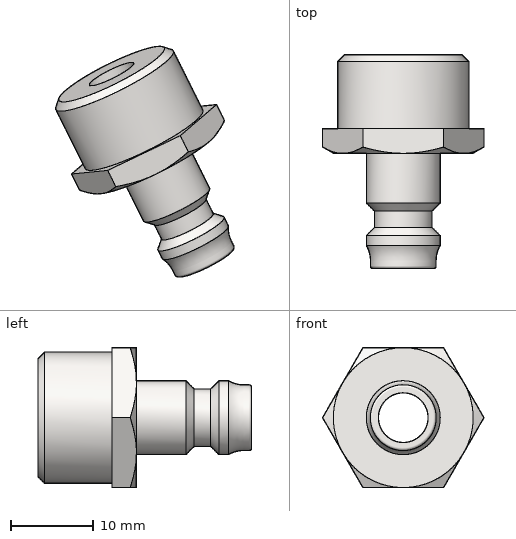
import cadquery as cq
import math

total_length = 26.0
tip_length = 1.0
tip_rounding = 0.3
flare_length = 1.82
collar_length = 1.2
groove_cone = 1.0
groove_length = 2.0
hex_length = 3.0
thread_length = 9.0
thread_chamfer = 0.83

bore_diameter = 6.0
tip_diameter = 8.0
stem_diameter = 9.0
thread_diameter = 16.0
hex_across_flats = 17.0
hex_chamfer_angle = 30.0

stem_radius = stem_diameter / 2
groove_radius = stem_radius - groove_cone
tip_radius = tip_diameter / 2
thread_radius = thread_diameter / 2
hex_inner_radius = hex_across_flats / 2
hex_corner_radius = hex_inner_radius / math.cos(math.radians(30))

flare_start = tip_length
collar_start = flare_start + flare_length
cone_start = collar_start + collar_length
groove_start = cone_start + groove_cone
groove_end = groove_start + groove_length
stem_start = groove_end + groove_cone
thread_start = total_length - thread_length
hex_start = thread_start - hex_length


def revolve_about_y(profile):
    return profile.close().revolve(360, (0, 0, 0), (0, 1, 0))


def plug():
    """Grooved stem with a rounded tip and a concave flare behind it."""
    rise = stem_radius - tip_radius
    arc_radius = (flare_length**2 + rise**2) / (2 * rise)
    half_angle = math.asin(flare_length / arc_radius) / 2
    flare_middle = (
        tip_radius + arc_radius * (1 - math.cos(half_angle)),
        flare_start + arc_radius * math.sin(half_angle),
    )
    return revolve_about_y(
        cq.Workplane("XY")
        .lineTo(tip_radius - tip_rounding, 0)
        .radiusArc((tip_radius, tip_rounding), -tip_rounding)
        .lineTo(tip_radius, flare_start)
        .threePointArc(flare_middle, (stem_radius, collar_start))
        .lineTo(stem_radius, cone_start)
        .lineTo(groove_radius, groove_start)
        .lineTo(groove_radius, groove_end)
        .lineTo(stem_radius, stem_start)
        .lineTo(stem_radius, hex_start)
        .lineTo(0, hex_start)
    )


def hexagon():
    """Hexagon with corners on X, its plug-side corners cut by a cone."""
    corner_overhang = hex_corner_radius - hex_inner_radius
    corner_drop = corner_overhang * math.tan(math.radians(hex_chamfer_angle))
    prism = (
        cq.Workplane("XZ", origin=(0, hex_start, 0))
        .polygon(6, 2 * hex_corner_radius)
        .extrude(-hex_length)
    )
    envelope = revolve_about_y(
        cq.Workplane("XY")
        .moveTo(0, hex_start)
        .lineTo(hex_inner_radius, hex_start)
        .lineTo(hex_corner_radius, hex_start + corner_drop)
        .lineTo(hex_corner_radius, thread_start)
        .lineTo(0, thread_start)
    )
    return prism.intersect(envelope)


def threaded_end():
    """Plain cylinder for the thread, chamfered at its outer end."""
    return (
        cq.Workplane("XZ", origin=(0, thread_start, 0))
        .circle(thread_radius)
        .extrude(-thread_length)
        .faces(">Y")
        .chamfer(thread_chamfer)
    )


def bore():
    """Straight passage through the whole length."""
    return cq.Workplane("XZ").circle(bore_diameter / 2).extrude(-total_length)


result = plug().union(hexagon()).union(threaded_end()).cut(bore())